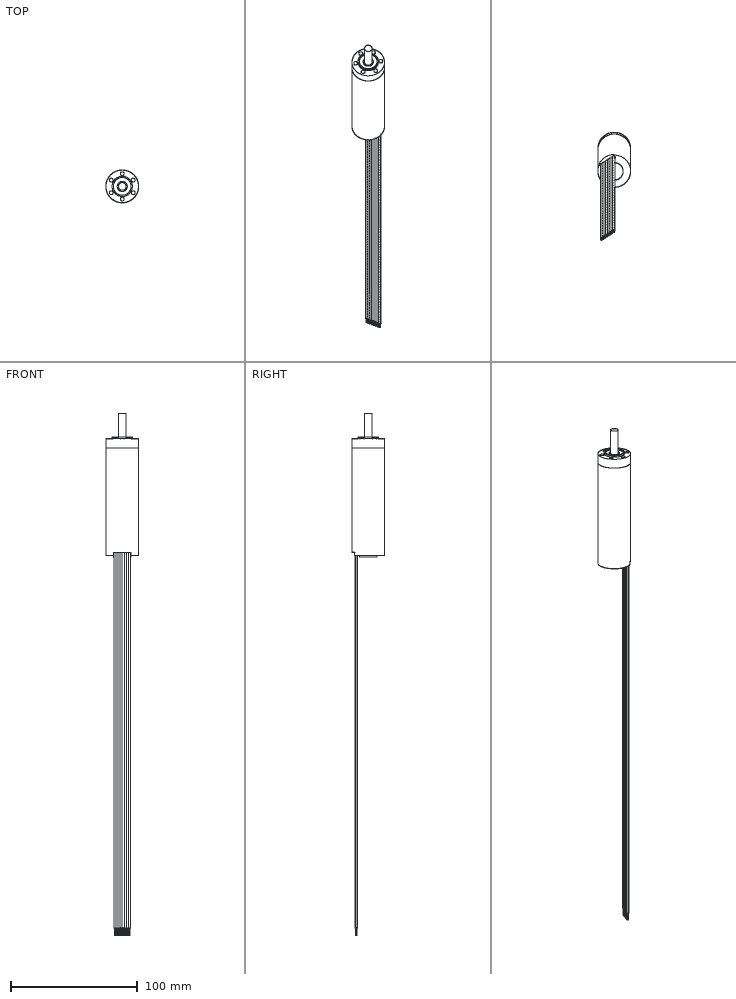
import cadquery as cq
import math


body_diameter = 26.0
body_length = 92.4
flange_diameter = 25.8
flange_length = 7.4
end_cap_length = 2.5

shaft_diameter = 6.0
shaft_length = 20.0
pilot_diameter = 16.0
pilot_height = 1.2
pilot_recess_diameter = 14.0
pilot_recess_depth = 0.5
shaft_recess_diameter = 8.0
shaft_recess_depth = 1.0

hole_count = 6
hole_diameter = 3.0
hole_circle_diameter = 20.0
hole_depth = 5.0
first_hole_angle = 90.0

rear_boss_diameter = 14.0
rear_boss_height = 1.2

wire_count = 8
wire_diameter = 1.8
wire_pitch = 1.65
wire_slot_clearance = 0.2
wire_y = -9.5
wire_end_below_body = 294.0
core_diameter = 1.0
core_length = 6.0

body_bottom = -body_length
cap_joint = body_bottom + end_cap_length
wire_end = body_bottom - wire_end_below_body
wire_slot_width = (wire_count - 1) * wire_pitch + wire_diameter + 2 * wire_slot_clearance
wire_slot_floor_y = wire_y + wire_diameter / 2 + wire_slot_clearance


def rod(diameter, bottom, height, x=0.0, y=0.0):
    """Vertical cylinder standing on z = bottom."""
    return cq.Workplane("XY", origin=(x, y, bottom)).circle(diameter / 2).extrude(height)


def make_body():
    """Motor body with the slightly slimmer flange and both bearing bosses."""
    body = rod(body_diameter, body_bottom, body_length - flange_length)
    body = body.union(rod(flange_diameter, -flange_length, flange_length))
    body = body.union(rod(pilot_diameter, 0, pilot_height))
    return body.union(rod(rear_boss_diameter, body_bottom - rear_boss_height, rear_boss_height))


def cut_mounting_holes(body):
    """Ring of blind holes in the gearbox face, the first one on +Y."""
    for i in range(hole_count):
        angle = math.radians(first_hole_angle + i * 360 / hole_count)
        x = hole_circle_diameter / 2 * math.cos(angle)
        y = hole_circle_diameter / 2 * math.sin(angle)
        body = body.cut(rod(hole_diameter, -hole_depth, hole_depth, x, y))
    return body


def cut_pilot_recesses(body):
    """Two stepped round recesses in the top of the pilot boss."""
    body = body.cut(rod(pilot_recess_diameter, pilot_height - pilot_recess_depth, pilot_recess_depth))
    return body.cut(rod(shaft_recess_diameter, pilot_height - shaft_recess_depth, shaft_recess_depth))


def cut_wire_slot(body):
    """Notch through the end cap on the -Y side where the wires come out."""
    depth = body_diameter / 2 + wire_slot_floor_y
    slot = cq.Workplane("XY").box(wire_slot_width, depth, end_cap_length, centered=(True, False, False))
    return body.cut(slot.translate((0, -body_diameter / 2, body_bottom)))


def make_wire(x):
    """Insulated wire hanging from the top of the slot, with a bare core at its end."""
    insulation = rod(wire_diameter, wire_end, cap_joint - wire_end, x, wire_y)
    core = rod(core_diameter, wire_end - core_length, core_length, x, wire_y)
    return insulation.union(core)


result = make_body()
result = cut_mounting_holes(result)
result = cut_pilot_recesses(result)
result = cut_wire_slot(result)
result = result.union(rod(shaft_diameter, 0, shaft_length))
for i in range(wire_count):
    result = result.union(make_wire((i - (wire_count - 1) / 2) * wire_pitch))